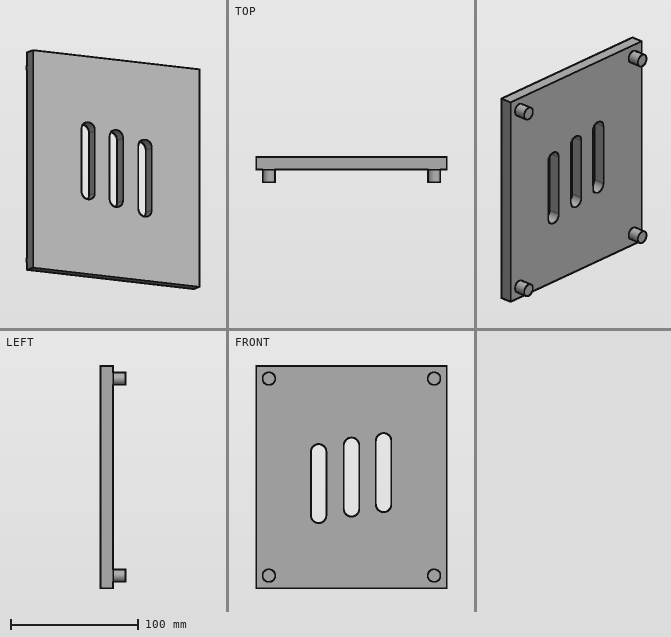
import cadquery as cq

plate_width = 150.0
plate_height = 175.0
plate_thickness = 10.0

peg_diameter = 10.0
peg_length = 10.0
peg_edge_distance = 10.0

slot_width = 12.0
slot_length = 62.0
slot_centers = [(-25.85, -5.1), (0.0, 0.0), (25.25, 3.55)]


def make_plate():
    """Plate centered on X and Z, with its front face at Y = 0 and its back at +Y."""
    return cq.Workplane("XZ").rect(plate_width, plate_height).extrude(-plate_thickness)


def make_pegs():
    """Four pegs reaching from the front face toward -Y."""
    spacing_x = plate_width - 2 * peg_edge_distance
    spacing_z = plate_height - 2 * peg_edge_distance
    return (
        cq.Workplane("XZ")
        .rect(spacing_x, spacing_z, forConstruction=True)
        .vertices()
        .circle(peg_diameter / 2)
        .extrude(peg_length)
    )


def make_slots():
    """Cutters for the slots, as deep as the plate is thick."""
    return (
        cq.Workplane("XZ")
        .pushPoints(slot_centers)
        .slot2D(slot_length, slot_width, angle=90)
        .extrude(-plate_thickness)
    )


result = make_plate().union(make_pegs()).cut(make_slots())